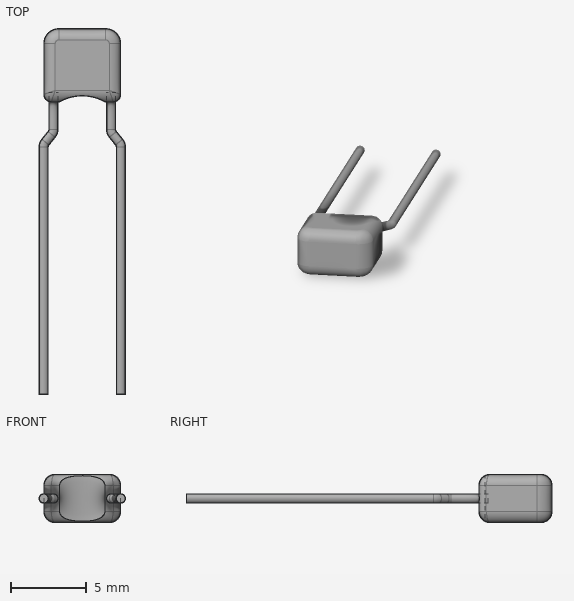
import cadquery as cq
import math


total_length = 24.12

body_width = 5.07
body_length = 4.82
body_height = 3.18
back_corner_radius = 1.0
front_corner_radius = 0.48
rim_radius = 0.75

scoop_width = 3.0
scoop_depth = 0.39

lead_diameter = 0.6
lead_spacing = 5.1
root_spacing = 3.8
root_length = 1.83
lead_embed = lead_diameter
bend_radius = 0.5
bend_angle = 39.0


def make_block():
    """Rounded block, front face on Y = 0 and centred on X and Z."""
    block = cq.Workplane("XY").box(body_width, body_length, body_height)
    block = block.translate((0, body_length / 2, 0))
    block = block.edges("|Z and >Y").fillet(back_corner_radius)
    block = block.faces("<Z or >Z").edges().fillet(rim_radius)
    return block.edges("|Z and <Y").fillet(front_corner_radius)


def make_scoop():
    """Upright cylinder that hollows the front face to the scoop depth."""
    half_width = scoop_width / 2
    radius = (half_width**2 + scoop_depth**2) / (2 * scoop_depth)
    scoop = cq.Workplane("XY").center(0, scoop_depth - radius).circle(radius)
    return scoop.extrude(body_height / 2, both=True)


def make_lead(side):
    """Round wire with an outward jog; side is -1 for left and +1 for right."""
    angle = math.radians(bend_angle)
    root_x = root_spacing / 2
    tail_x = lead_spacing / 2
    arc_shift = bend_radius * (1 - math.cos(angle))
    arc_drop = bend_radius * math.sin(angle)
    half_shift = bend_radius * (1 - math.cos(angle / 2))
    half_drop = bend_radius * math.sin(angle / 2)
    slant_drop = (tail_x - root_x - 2 * arc_shift) / math.tan(angle)
    jog_start = -root_length
    jog_end = jog_start - 2 * arc_drop - slant_drop
    tail_end = body_length - total_length

    def point(x, y):
        return (side * x, y)

    path = (
        cq.Workplane("XY")
        .moveTo(*point(root_x, lead_embed))
        .lineTo(*point(root_x, jog_start))
        .threePointArc(
            point(root_x + half_shift, jog_start - half_drop),
            point(root_x + arc_shift, jog_start - arc_drop),
        )
        .lineTo(*point(tail_x - arc_shift, jog_end + arc_drop))
        .threePointArc(
            point(tail_x - half_shift, jog_end + half_drop),
            point(tail_x, jog_end),
        )
        .lineTo(*point(tail_x, tail_end))
    )
    section = cq.Workplane("XZ", origin=(side * root_x, lead_embed, 0)).circle(lead_diameter / 2)
    return section.sweep(path)


leads = [make_lead(side) for side in (-1, 1)]
housing = make_block().cut(make_scoop())
for lead in leads:
    housing = housing.cut(lead)

result = cq.Compound.makeCompound([housing.val(), *[lead.val() for lead in leads]])